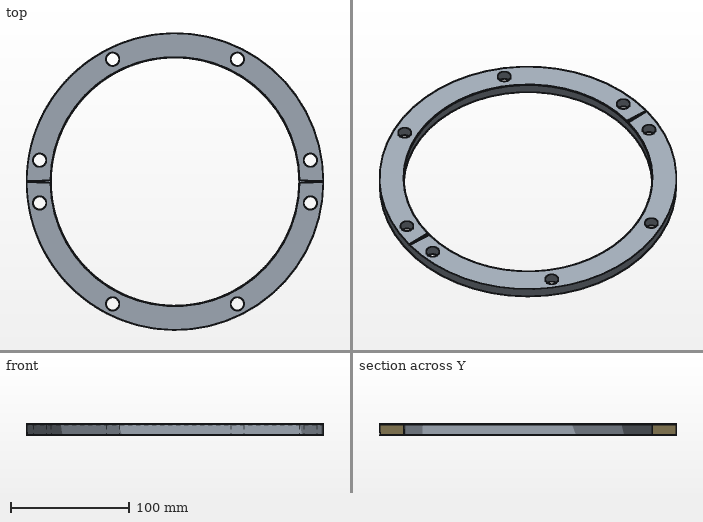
import cadquery as cq

outer_diameter = 250.8
inner_diameter = 209.7
thickness = 9.5
inner_chamfer = 0.5

hole_diameter = 11.0
seam_hole_position = (114.4, 18.0)
crown_hole_position = (52.7, 103.3)

groove_depth = 0.5
rim_top_width = 1.0
rim_floor_width = 0.13
bore_top_width = 2.3
bore_floor_width = 2.0

outer_radius = outer_diameter / 2
inner_radius = inner_diameter / 2


def make_ring():
    ring = cq.Workplane("XY").circle(outer_radius).circle(inner_radius).extrude(thickness)
    return ring.faces(">Z").edges("%CIRCLE").edges(cq.selectors.RadiusNthSelector(0)).chamfer(inner_chamfer)


def make_holes():
    positions = [
        (x_side * x, y_side * y)
        for x, y in (seam_hole_position, crown_hole_position)
        for x_side in (-1, 1)
        for y_side in (-1, 1)
    ]
    return cq.Workplane("XY").pushPoints(positions).circle(hole_diameter / 2).extrude(thickness)


def groove_section(x, top_width, floor_width):
    """Return the groove's trapezoidal cross-section in the plane at the given X."""
    floor = thickness - groove_depth
    corners = [
        (x, -top_width / 2, thickness),
        (x, top_width / 2, thickness),
        (x, floor_width / 2, floor),
        (x, -floor_width / 2, floor),
    ]
    return cq.Wire.makePolygon([cq.Vector(*corner) for corner in corners], close=True)


def make_groove():
    rim_section = groove_section(outer_radius, rim_top_width, rim_floor_width)
    bore_section = groove_section(inner_radius, bore_top_width, bore_floor_width)
    return cq.Workplane(cq.Solid.makeLoft([bore_section, rim_section], True))


groove = make_groove()
result = make_ring().cut(make_holes()).cut(groove).cut(groove.mirror("YZ"))